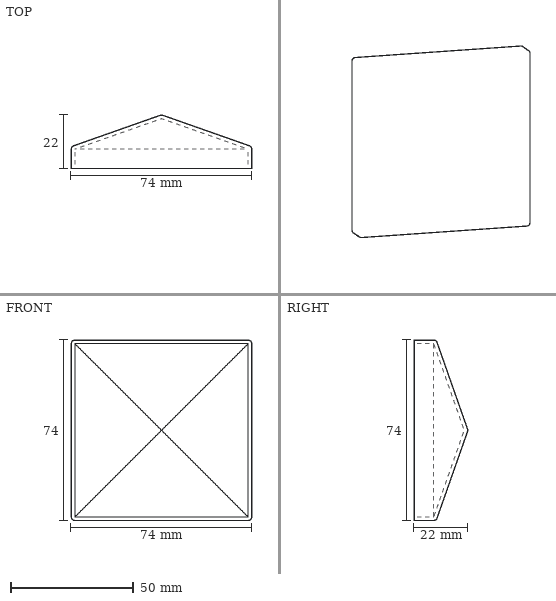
import cadquery as cq

width = 74.0
total_depth = 22.0
wall = 1.5
skirt_depth = 8.0

cavity_width = width - 2 * wall
cavity_apex_y = total_depth - wall


def cavity():
    """Square recess from the rim at Y = 0, ending in a pyramid towards +Y."""
    half = cavity_width / 2
    corner_positions = ((-half, -half), (half, -half), (half, half), (-half, half))
    rim = [cq.Vector(x, 0, z) for x, z in corner_positions]
    foot = [cq.Vector(x, skirt_depth, z) for x, z in corner_positions]
    apex = cq.Vector(0, cavity_apex_y, 0)

    outlines = [rim]
    for i in range(len(rim)):
        following = (i + 1) % len(rim)
        outlines.append([rim[i], rim[following], foot[following], foot[i]])
        outlines.append([foot[i], foot[following], apex])

    faces = []
    for outline in outlines:
        wire = cq.Wire.makePolygon(outline, close=True)
        faces.append(cq.Face.makeFromWires(wire))
    solid = cq.Solid.makeSolid(cq.Shell.makeShell(faces))
    return cq.Workplane("XY").newObject([solid.fix()])


result = cavity().faces("<Y").shell(wall, kind="arc")